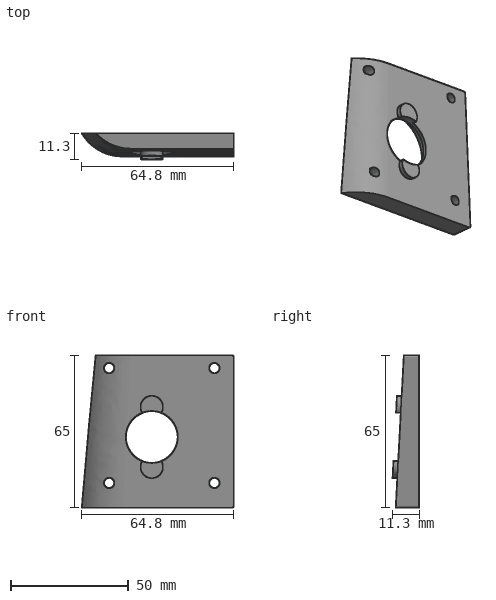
import cadquery as cq

width = 64.8
height = 65.0
base_depth = 10.0
top_depth = 6.55
corner_radius = 1.0

bend_radius = 20.3
bend_lean = 3.4
arc_center_y = bend_radius - base_depth
arc_center_x = (bend_radius**2 - arc_center_y**2) ** 0.5

opening_x = 29.85
opening_z = 30.15
opening_diameter = 22.0
recess_diameter = 32.1
lip_thickness = 1.6

lug_diameter = 9.55
lug_offset = 12.75
lug_height = 2.0

screw_diameter = 4.3
screw_xs = (11.7, 56.5)
screw_zs = (10.6, 59.5)

clearance = 6.5


def slanted_prism(profile):
    """Extrude a horizontal profile upwards, parallel to the leaning bend."""
    lean = cq.Vector(bend_lean, base_depth - top_depth, height)
    face = cq.Face.makeFromWires(profile.val())
    return cq.Workplane(obj=cq.Solid.extrudeLinear(face, lean))


def cylinder_along_y(diameter, x, z):
    """Cylinder from the back face to well beyond the front face."""
    return (
        cq.Workplane("XZ", origin=(x, 0, z))
        .circle(diameter / 2)
        .extrude(base_depth + clearance)
    )


def behind_slope(offset):
    """Wedge between the back and a plane parallel to the front face, moved outwards by offset."""
    return (
        cq.Workplane("YZ")
        .polyline([(0, 0), (-base_depth - offset, 0), (-top_depth - offset, height), (0, height)])
        .close()
        .extrude(width)
    )


def plate_body():
    block = (
        cq.Workplane("XY")
        .box(width, base_depth, height, centered=False)
        .translate((0, -base_depth, 0))
        .edges("|Y and >X")
        .fillet(corner_radius)
    )
    profile = (
        cq.Workplane("XY")
        .moveTo(arc_center_x - bend_radius, arc_center_y)
        .radiusArc((arc_center_x, -base_depth), -bend_radius)
        .lineTo(width + clearance, -base_depth)
        .lineTo(width + clearance, arc_center_y)
        .close()
    )
    return block.intersect(slanted_prism(profile))


body = plate_body()

lug_space = behind_slope(lug_height)
for side in (-1, 1):
    lug = cylinder_along_y(lug_diameter, opening_x, opening_z + side * lug_offset)
    body = body.union(lug.intersect(lug_space))

recess = cylinder_along_y(recess_diameter, opening_x, opening_z)
body = body.cut(recess.intersect(behind_slope(-lip_thickness)))
body = body.cut(cylinder_along_y(opening_diameter, opening_x, opening_z))

for x in screw_xs:
    for z in screw_zs:
        body = body.cut(cylinder_along_y(screw_diameter, x, z))

result = body